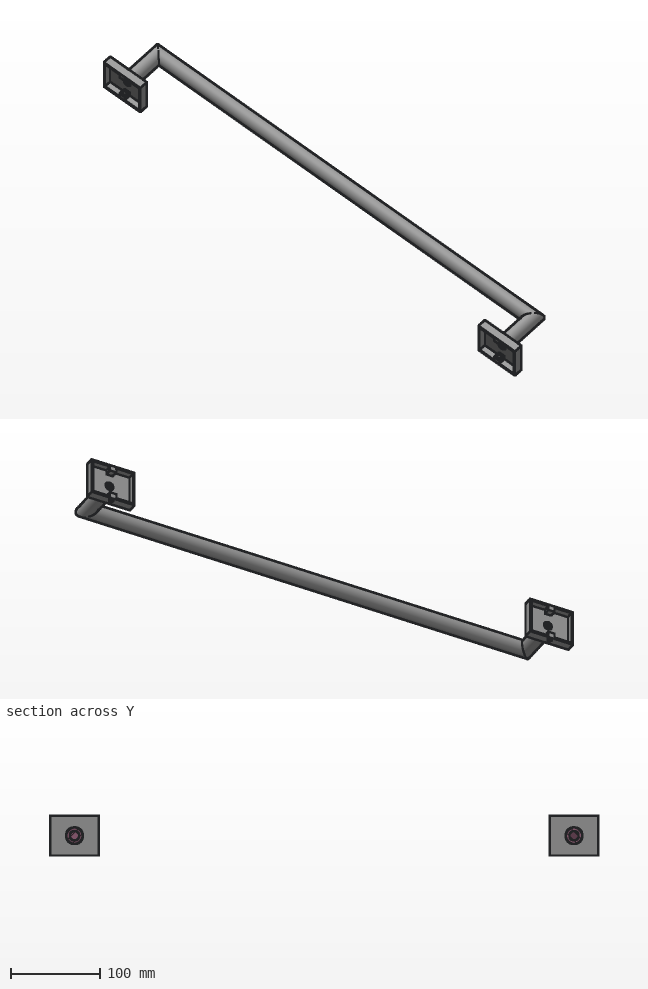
import cadquery as cq

overall_length = 616.0
overall_depth = 71.0
plate_width = 55.0
plate_height = 45.0
plate_depth = 11.0
post_x = (overall_length - plate_width) / 2
post_places = (-post_x, post_x)

tube_diameter = 19.0
tube_radius = tube_diameter / 2
tube_axis_y = overall_depth - tube_radius

wall_thickness = 2.05
floor_thickness = 2.5
pocket_depth = plate_depth - floor_thickness
boss_width = 8.0
boss_height = 7.5
boss_hole_diameter = 5.0

plug_diameter = 18.0
plug_length = 6.0
groove_diameter = 16.5
groove_start = 1.0
groove_end = 4.5
plug_end_y = plate_depth + plug_length

screw_diameter = 10.0
screw_recess = 2.0
socket_diameter = 5.0
socket_depth = 2.5
screw_start_y = pocket_depth + screw_recess


def round_bar(x, start_y, end_y, diameter):
    """Cylinder along Y, centred on Z = 0."""
    return (
        cq.Workplane("XZ", origin=(x, start_y, 0))
        .circle(diameter / 2)
        .extrude(start_y - end_y)
    )


def block(x, z, width, depth, height):
    """Box whose front face lies on Y = 0."""
    return cq.Workplane("XY").box(width, depth, height).translate((x, depth / 2, z))


def make_rail():
    """U-shaped bar with mitred corners and a socket in the end of each post."""
    path = (
        cq.Workplane("XY")
        .moveTo(-post_x, plate_depth)
        .lineTo(-post_x, tube_axis_y)
        .lineTo(post_x, tube_axis_y)
        .lineTo(post_x, plate_depth)
    )
    rail = (
        cq.Workplane("XZ", origin=(-post_x, plate_depth, 0))
        .circle(tube_radius)
        .sweep(path, transition="right")
    )
    for x in post_places:
        rail = rail.cut(round_bar(x, plate_depth, plug_end_y, plug_diameter))
    return rail


def make_plate(x):
    """Hollow rectangular plate with a boss on its top and bottom walls, the lower one drilled through."""
    plate = block(x, 0, plate_width, plate_depth, plate_height)
    pocket_width = plate_width - 2 * wall_thickness
    pocket_height = plate_height - 2 * wall_thickness
    plate = plate.cut(block(x, 0, pocket_width, pocket_depth, pocket_height))
    boss_z = (plate_height - boss_height) / 2
    for z in (-boss_z, boss_z):
        plate = plate.union(block(x, z, boss_width, pocket_depth, boss_height))
    boss_hole = (
        cq.Workplane("XY", origin=(x, pocket_depth / 2, -plate_height / 2))
        .circle(boss_hole_diameter / 2)
        .extrude(boss_height)
    )
    screw_hole = round_bar(x, pocket_depth, plate_depth, screw_diameter)
    return plate.cut(boss_hole).cut(screw_hole)


def make_plug(x):
    """Grooved round plug, bored for the screw."""
    plug = round_bar(x, plate_depth, plug_end_y, plug_diameter)
    groove_start_y = plate_depth + groove_start
    groove_end_y = plate_depth + groove_end
    ring = round_bar(x, groove_start_y, groove_end_y, plug_diameter)
    ring = ring.cut(round_bar(x, groove_start_y, groove_end_y, groove_diameter))
    return plug.cut(ring).cut(round_bar(x, plate_depth, plug_end_y, screw_diameter))


def make_screw(x):
    """Headless screw with a blind round socket."""
    screw = round_bar(x, screw_start_y, plug_end_y, screw_diameter)
    return screw.cut(round_bar(x, screw_start_y, screw_start_y + socket_depth, socket_diameter))


rail = make_rail()
plates = [make_plate(x) for x in post_places]
plugs = [make_plug(x) for x in post_places]
screws = [make_screw(x) for x in post_places]

result = cq.Compound.makeCompound([body.val() for body in [rail, *plates, *plugs, *screws]])